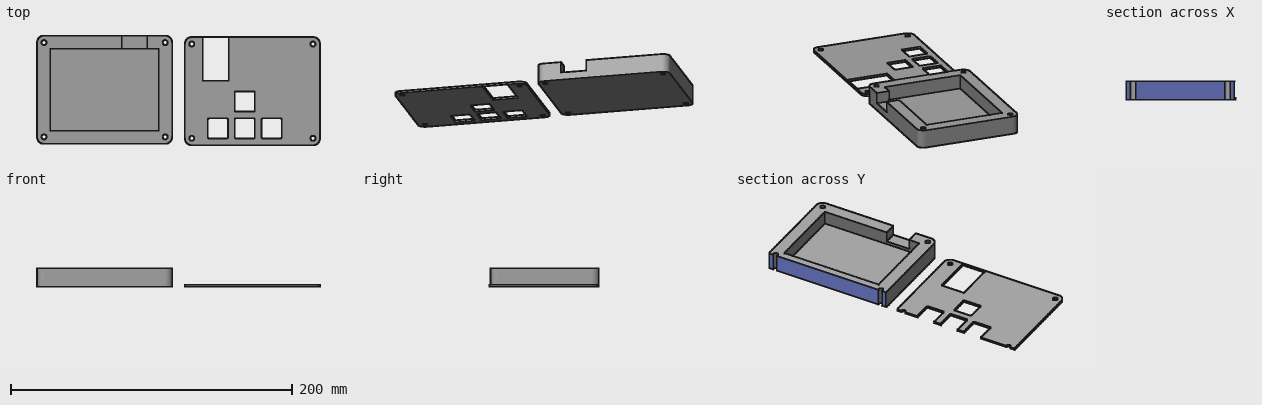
import cadquery as cq

panel_length = 96.3
panel_width = 77.1
corner_radius = 5.0
screw_inset = 5.0
screw_diameter = 3.5

housing_height = 13.3
wall_thickness = 9.5
floor_thickness = 3.0
port_width = 18.3
port_offset = 60.2
port_sill_height = 5.5

overall_length = 201.4
overall_width = 78.1
cover_thickness = 1.6
cover_x = overall_length - panel_length
cover_y = panel_width - overall_width

window_width = 18.3
window_length = 30.6
window_offset = 12.9
window_strip = 0.5

key_size = 14.0
key_corner_radius = 0.6
key_pitch = 19.1
middle_key_x = 42.7
front_key_y = 12.0


def block(x, y, z, length, width, height):
    """Box whose lowest corner is at (x, y, z)."""
    return cq.Workplane("XY").box(length, width, height, centered=False).translate((x, y, z))


def make_panel(height):
    """Rounded rectangular plate with a screw hole through each corner."""
    panel = block(0, 0, 0, panel_length, panel_width, height).edges("|Z").fillet(corner_radius)
    screw_points = [
        (x, y)
        for x in (screw_inset, panel_length - screw_inset)
        for y in (screw_inset, panel_width - screw_inset)
    ]
    holes = cq.Workplane("XY").pushPoints(screw_points).circle(screw_diameter / 2).extrude(height)
    return panel.cut(holes)


def make_housing():
    """Open tray with a port notch in its back wall."""
    pocket = block(
        wall_thickness,
        wall_thickness,
        floor_thickness,
        panel_length - 2 * wall_thickness,
        panel_width - 2 * wall_thickness,
        housing_height - floor_thickness,
    )
    port = block(
        port_offset,
        panel_width - wall_thickness,
        port_sill_height,
        port_width,
        wall_thickness,
        housing_height - port_sill_height,
    )
    return make_panel(housing_height).cut(pocket).cut(port)


def make_cover():
    """Flat plate with a display window and four key openings."""
    window = block(
        window_offset,
        panel_width - window_strip - window_length,
        0,
        window_width,
        window_length,
        cover_thickness,
    )
    key_points = [(middle_key_x + step * key_pitch, front_key_y) for step in (-1, 0, 1)]
    key_points.append((middle_key_x, front_key_y + key_pitch))
    keys = (
        cq.Workplane("XY")
        .pushPoints(key_points)
        .rect(key_size, key_size)
        .extrude(cover_thickness)
        .edges("|Z")
        .fillet(key_corner_radius)
    )
    return make_panel(cover_thickness).cut(window).cut(keys).translate((cover_x, cover_y, 0))


housing = make_housing()
cover = make_cover()

result = cq.Compound.makeCompound([housing.val(), cover.val()])